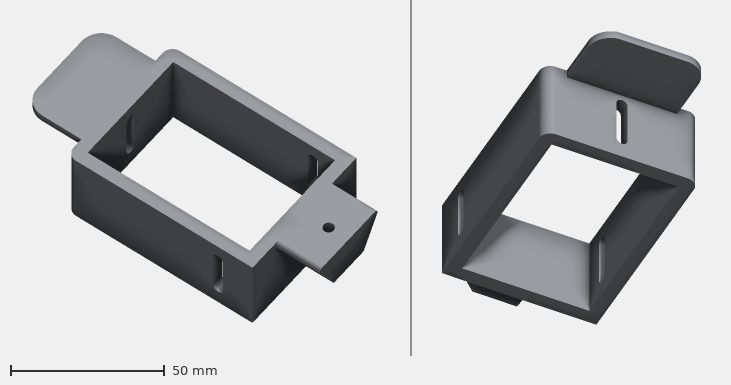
import cadquery as cq
import math

total_length = 118.0
frame_width = 56.0
height = 30.0

frame_length = 76.0
wall = 5.0
frame_corner_radius = 4.0

tab_length = 24.0
tab_width = 40.0
tab_thickness = 3.0
tab_corner_radius = 8.0

block_length = total_length - frame_length - tab_length
block_width = 31.2
block_height = 15.0
block_edge_radius = 1.5
block_side_angle = 30.0
hole_diameter = 4.0
hole_from_frame = 9.9

slot_width = 4.0
slot_length = 19.4
slot_top_gap = 5.0
slot_from_frame_end = 14.0

frame_left = -frame_length / 2
frame_right = frame_length / 2
slot_centre_z = height - slot_top_gap - slot_length / 2


def make_frame():
    outer = (
        cq.Workplane("XY")
        .box(frame_length, frame_width, height, centered=(True, True, False))
        .edges("|Z and <X")
        .fillet(frame_corner_radius)
    )
    opening = cq.Workplane("XY").box(
        frame_length - 2 * wall, frame_width - 2 * wall, height, centered=(True, True, False)
    )
    return outer.cut(opening)


def make_tab():
    return (
        cq.Workplane("XY")
        .box(tab_length, tab_width, tab_thickness)
        .edges("|Z and <X")
        .fillet(tab_corner_radius)
        .translate((frame_left - tab_length / 2, 0, height - tab_thickness / 2))
    )


def make_block():
    angle = math.radians(block_side_angle)
    half_flat = block_width / 2 - block_edge_radius
    half_top = half_flat + block_edge_radius * (1 + math.sin(angle)) / math.cos(angle)
    half_bottom = half_top - block_height * math.tan(angle)
    bottom = height - block_height
    block = (
        cq.Workplane("YZ", origin=(frame_right, 0, 0))
        .polyline([(-half_top, height), (half_top, height), (half_bottom, bottom), (-half_bottom, bottom)])
        .close()
        .extrude(block_length)
        .edges("|X and >Z")
        .fillet(block_edge_radius)
    )
    hole = (
        cq.Workplane("XY", origin=(frame_right + hole_from_frame, 0, bottom))
        .circle(hole_diameter / 2)
        .extrude(block_height)
    )
    return block.cut(hole)


def make_slot(plane, origin, depth):
    return cq.Workplane(plane, origin=origin).slot2D(slot_length, slot_width, 90).extrude(depth)


side_slots = make_slot(
    "XZ", (frame_right - slot_from_frame_end, frame_width / 2, slot_centre_z), frame_width
)
end_slot = make_slot("YZ", (frame_left, 0, slot_centre_z), wall)

result = make_frame().cut(side_slots).cut(end_slot).union(make_tab()).union(make_block())